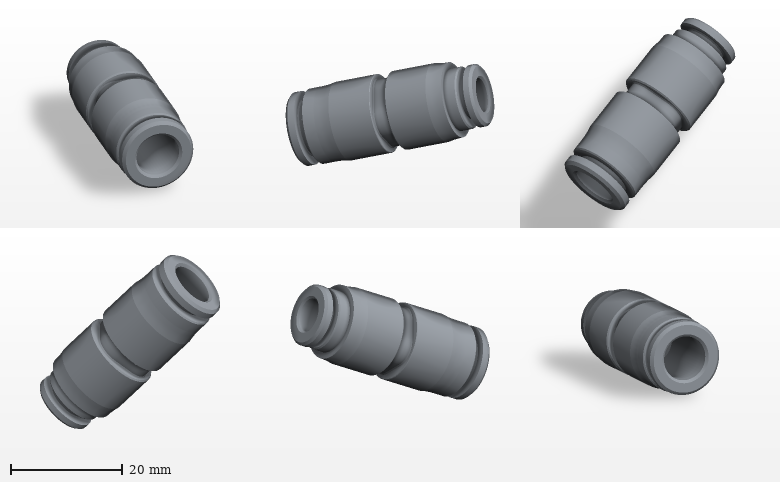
import cadquery as cq

length = 35.8
shell_radius = 7.2
edge_break = 0.25

small_collar_end = 1.58
small_collar_radius = 5.7
small_collar_chamfer = 0.45
small_stem_radius = 3.95

small_ring_start = 2.95
small_ring_radius = 5.7

small_shell_start = 5.3
small_taper_end = 8.25
small_shell_end = 16.32
shell_face_radius = 6.87

waist_across_flats = 10.95
waist_corner_radius = 3.47
waist_core_radius = 5.0
waist_flare = 0.2

large_inner_edge_break = 0.1
large_shell_start = 19.1
large_taper_start = 27.1
large_taper_end = 30.1
large_shell_end = 32.58

large_collar_start = 33.97
large_collar_radius = 6.73
large_collar_chamfer = 0.55
large_stem_radius = 4.95

stem_flare = 0.25

small_tube_radius = 3.08
small_tube_depth = 16.1
small_mouth_radius = 3.45
large_tube_radius = 4.0
large_tube_depth = 16.1
large_mouth_radius = 4.48
passage_radius = 2.5
passage_chamfer = 0.25

taper_mid_rise = 0.07
taper_mid_radius = shell_face_radius + taper_mid_rise


def revolve_about_axis(profile):
    """Revolve a closed (x, radius) profile about the X axis."""
    return profile.close().revolve(360, (0, 0, 0), (1, 0, 0))


def outer_body():
    profile = (
        cq.Workplane("XY")
        .moveTo(0, 0)
        .lineTo(0, small_collar_radius - small_collar_chamfer)
        .lineTo(small_collar_chamfer, small_collar_radius)
        .lineTo(small_collar_end, small_collar_radius)
        .lineTo(small_collar_end, small_stem_radius + stem_flare)
        .lineTo(small_collar_end + stem_flare, small_stem_radius)
        .lineTo(small_ring_start, small_stem_radius)
        .lineTo(small_ring_start, small_ring_radius - edge_break)
        .lineTo(small_ring_start + edge_break, small_ring_radius)
        .lineTo(small_shell_start, small_ring_radius)
        .lineTo(small_shell_start, shell_face_radius)
        .threePointArc(
            ((small_shell_start + small_taper_end) / 2, taper_mid_radius),
            (small_taper_end, shell_radius),
        )
        .lineTo(small_shell_end - edge_break, shell_radius)
        .lineTo(small_shell_end, shell_radius - edge_break)
        .lineTo(small_shell_end, waist_core_radius)
        .lineTo(large_shell_start, waist_core_radius)
        .lineTo(large_shell_start, shell_radius - large_inner_edge_break)
        .lineTo(large_shell_start + large_inner_edge_break, shell_radius)
        .lineTo(large_taper_start, shell_radius)
        .threePointArc(
            ((large_taper_start + large_taper_end) / 2, taper_mid_radius),
            (large_taper_end, shell_face_radius),
        )
        .lineTo(large_shell_end - edge_break, shell_face_radius)
        .lineTo(large_shell_end, shell_face_radius - edge_break)
        .lineTo(large_shell_end, large_stem_radius)
        .lineTo(large_collar_start - stem_flare, large_stem_radius)
        .lineTo(large_collar_start, large_stem_radius + stem_flare)
        .lineTo(large_collar_start, large_collar_radius)
        .lineTo(length - large_collar_chamfer, large_collar_radius)
        .lineTo(length, large_collar_radius - large_collar_chamfer)
        .lineTo(length, 0)
    )
    return revolve_about_axis(profile)


def bore():
    """Stepped through bore: a chamfered tube socket at each end and a narrower passage."""
    small_mouth_depth = small_mouth_radius - small_tube_radius
    large_mouth_depth = large_mouth_radius - large_tube_radius
    profile = (
        cq.Workplane("XY")
        .moveTo(0, 0)
        .lineTo(0, small_mouth_radius)
        .lineTo(small_mouth_depth, small_tube_radius)
        .lineTo(small_tube_depth, small_tube_radius)
        .lineTo(small_tube_depth, passage_radius + passage_chamfer)
        .lineTo(small_tube_depth + passage_chamfer, passage_radius)
        .lineTo(length - large_tube_depth - passage_chamfer, passage_radius)
        .lineTo(length - large_tube_depth, passage_radius + passage_chamfer)
        .lineTo(length - large_tube_depth, large_tube_radius)
        .lineTo(length - large_mouth_depth, large_tube_radius)
        .lineTo(length, large_mouth_radius)
        .lineTo(length, 0)
    )
    return revolve_about_axis(profile)


def waist():
    """Square bar with rounded corners joining the two shells."""
    return (
        cq.Workplane("YZ", origin=(small_shell_end, 0, 0))
        .rect(waist_across_flats, waist_across_flats)
        .extrude(large_shell_start - small_shell_end)
        .edges("|X")
        .fillet(waist_corner_radius)
    )


def flare_waist_ends(body):
    """Bevel the inside corners where the waist and its flats meet the two shells."""
    tolerance = 0.005
    reach = shell_radius - edge_break - tolerance
    for corner_x in (small_shell_end, large_shell_start):
        corner = cq.selectors.BoxSelector(
            (corner_x - tolerance, -reach, -reach),
            (corner_x + tolerance, reach, reach),
            boundingbox=True,
        )
        body = body.edges(corner).chamfer(waist_flare)
    return body


result = flare_waist_ends(outer_body().union(waist())).cut(bore())